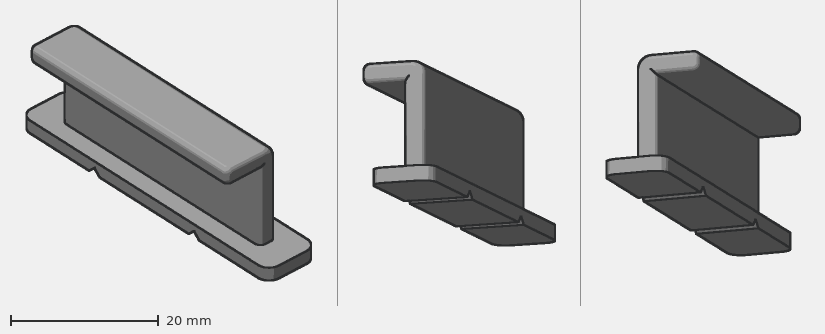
import cadquery as cq

base_length = 49.8
base_width = 9.0
base_thickness = 2.15
base_corner_radius = 2.0

handle_length = 39.85
handle_depth = 9.0
handle_thickness = 3.0
total_height = 17.7
total_width = 12.0
bend_radius = 2.0
edge_radius = 1.0

groove_depth = 1.0
groove_half_width = 1.05
groove_spacing = 20.0

lip_front = base_width / 2 - total_width
wall_back = lip_front + handle_depth
wall_front = wall_back - handle_thickness
lip_underside = total_height - handle_thickness


def make_base():
    plate = cq.Workplane("XY").box(
        base_length, base_width, base_thickness, centered=(True, True, False)
    )
    return plate.edges("|Z").fillet(base_corner_radius)


def make_handle():
    profile = [
        (wall_back, base_thickness),
        (wall_back, total_height),
        (lip_front, total_height),
        (lip_front, lip_underside),
        (wall_front, lip_underside),
        (wall_front, base_thickness),
    ]
    handle = cq.Workplane("YZ").polyline(profile).close().extrude(handle_length / 2, both=True)
    handle = handle.edges("|X and >Z and >Y").fillet(bend_radius)

    lip_edges = handle.faces("<Y").edges("|X")
    end_edges = handle.faces("<X or >X").edges().filter(
        lambda edge: edge.Center().z > base_thickness + edge_radius
    )
    return end_edges.add(lip_edges).fillet(edge_radius)


def make_groove(x_center):
    return (
        cq.Workplane("XZ")
        .polyline([
            (x_center - groove_half_width, 0),
            (x_center, groove_depth),
            (x_center + groove_half_width, 0),
        ])
        .close()
        .extrude(base_width, both=True)
    )


result = make_base().union(make_handle())
for side in (-1, 1):
    result = result.cut(make_groove(side * groove_spacing / 2))